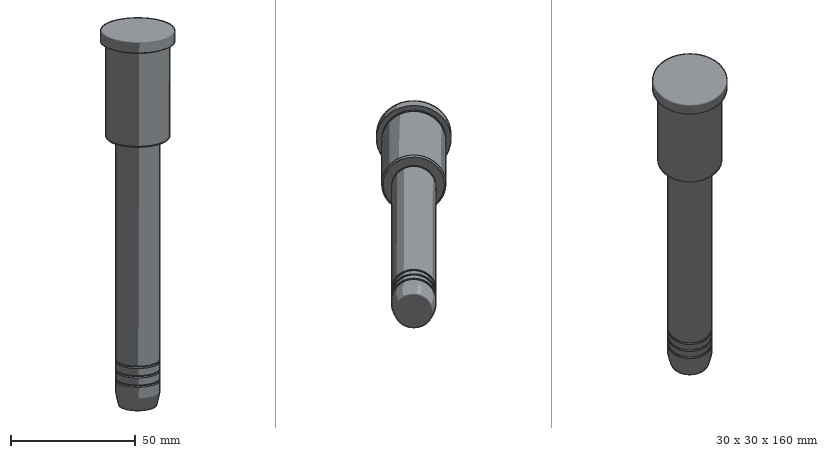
import cadquery as cq

total_length = 160.0

head_diameter = 30.0
head_height = 5.0
head_edge_radius = 0.8

body_diameter = 26.0
body_bottom_depth = 46.0
body_chamfer = 0.6

pin_diameter = 18.0

relief_width = 1.0
relief_depth = 0.3

oil_groove_width = 1.0
oil_groove_depth = 0.3
oil_groove_count = 3
oil_groove_pitch = 4.0
lowest_oil_groove_height = 11.0

tip_height = 5.8
tip_end_diameter = 15.4
tip_bulge = 0.08
tip_edge_radius = 0.5

body_bottom = total_length - body_bottom_depth
head_bottom = total_length - head_height


def cylinder(diameter, bottom, top):
    """Solid cylinder about Z between two heights."""
    return cq.Workplane("XY").workplane(offset=bottom).circle(diameter / 2).extrude(top - bottom)


def cut_square_groove(solid, diameter, bottom, width, depth):
    """Cut a square ring groove into a cylinder of the given diameter."""
    core = cylinder(diameter - 2 * depth, bottom, bottom + width)
    ring = cylinder(diameter, bottom, bottom + width).cut(core)
    return solid.cut(ring)


def cut_v_groove(solid, diameter, bottom, width, depth):
    """Cut a V-shaped ring groove into a cylinder of the given diameter."""
    radius = diameter / 2
    profile = (
        cq.Workplane("XZ")
        .moveTo(radius, bottom)
        .lineTo(radius - depth, bottom + width / 2)
        .lineTo(radius, bottom + width)
        .close()
    )
    return solid.cut(profile.revolve(360, (0, 0, 0), (0, 1, 0)))


def make_tip():
    """Revolve the bulging taper and round its bottom edge."""
    top_radius = pin_diameter / 2
    end_radius = tip_end_diameter / 2
    middle = ((top_radius + end_radius) / 2 + tip_bulge, tip_height / 2)
    profile = (
        cq.Workplane("XZ")
        .lineTo(end_radius, 0)
        .threePointArc(middle, (top_radius, tip_height))
        .lineTo(0, tip_height)
        .close()
    )
    tip = profile.revolve(360, (0, 0, 0), (0, 1, 0))
    return tip.faces("<Z").edges().fillet(tip_edge_radius)


head = cylinder(head_diameter, head_bottom, total_length).faces(">Z").edges().fillet(head_edge_radius)

body = cylinder(body_diameter, body_bottom, head_bottom).faces("<Z").edges().chamfer(body_chamfer)
body = cut_v_groove(body, body_diameter, head_bottom - relief_width, relief_width, relief_depth)

pin = cylinder(pin_diameter, tip_height, body_bottom)
pin = cut_square_groove(pin, pin_diameter, body_bottom - relief_width, relief_width, relief_depth)
for index in range(oil_groove_count):
    centre = lowest_oil_groove_height + index * oil_groove_pitch
    groove_bottom = centre - oil_groove_width / 2
    pin = cut_v_groove(pin, pin_diameter, groove_bottom, oil_groove_width, oil_groove_depth)

result = head.union(body).union(pin).union(make_tip())